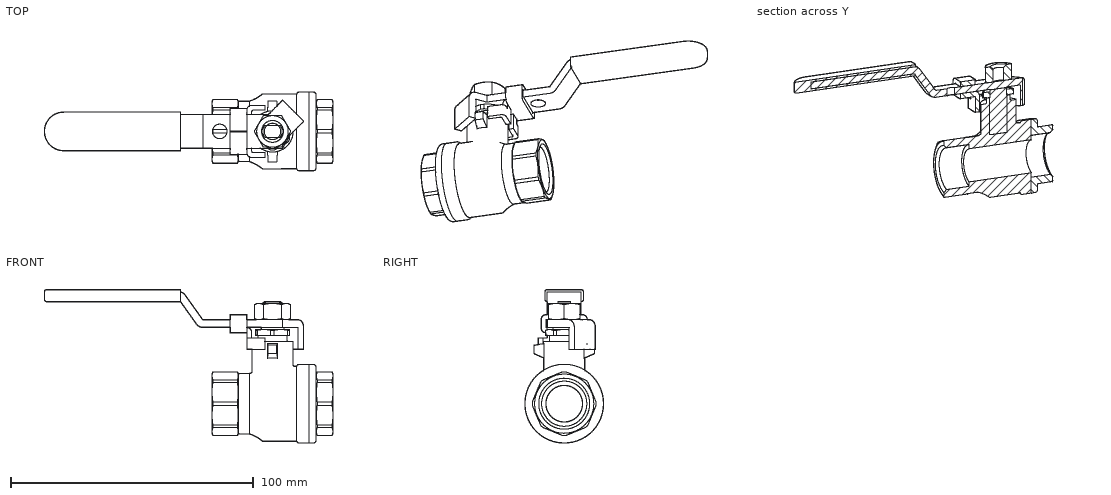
import cadquery as cq
import math


HALF_LENGTH = 25.0
BORE_DIAMETER = 15.0
THREAD_DIAMETER = 18.63
THREAD_DEPTH = 11.5
MOUTH_DIAMETER = 21.0

OCTAGON_FLATS = 24.8
OCTAGON_CORNER_DIAMETER = 26.3
OCTAGON_FACE_DIAMETER = 24.38
OCTAGON_CHAMFER = 0.45

OCTAGON_END = -14.0
THROAT_DIAMETER = 25.0
THROAT_END = -9.5
CHAMBER_DIAMETER = 31.0
CHAMBER_START = -4.05
SHOULDER_RADIUS = 16.0
CHAMBER_EDGE_ROUND = 0.3
FLANGE_DIAMETER = 32.5
FLANGE_START = 9.95
FLANGE_END = 18.0
SPLIT = 15.1
BODY_FLANGE_ROUND = 1.0
CAP_FLANGE_ROUND = 1.2

NECK_DIAMETER = 17.0
NECK_TOP = 25.6
NECK_ROOT_ROUND = 0.4
SEAT_DIAMETER = 12.0
SEAT_TOP = 28.1
SEAT_ROOT_ROUND = 0.45
LUG_REACH = 12.5
LUG_ROOT_REACH = 7.5
LUG_ROOT_WIDTH = 4.3
LUG_TIP_WIDTH = 3.5
LUG_ROOT_BOTTOM = 18.4
LUG_ROOT_TOP = 24.9
LUG_TIP_BOTTOM = 20.6
LUG_TIP_TOP = 24.1

GLAND_TOP = 30.6
GLAND_FLATS = 14.0
GLAND_CORNER_DIAMETER = 15.4
GLAND_CHAMFER = 0.4

LEVER_THICKNESS = 3.2
LEVER_BOTTOM = 31.4
LEVER_TOP = LEVER_BOTTOM + LEVER_THICKNESS
LEVER_WIDTH = 14.0
LEVER_RISE_START = -28.7
LEVER_RISE_ANGLE = 54.5
LEVER_HOLE_DIAMETER = 6.0
LEVER_HOLE_X = -21.75
STOP_WIDTH = 12.3
STOP_ANGLE = 45.0
STOP_REACH = 12.05
STOP_BOTTOM = 22.4
WEB_EDGE_START = 4.1
WEB_EDGE_SLOPE = 60.0

STEM_DIAMETER = 9.3
STEM_BOTTOM = 12.0
STEM_TIP_DIAMETER = 8.0
STEM_TIP_END_DIAMETER = 6.75
STEM_TIP_FLATS = 5.0
STEM_TOP = 42.1

NUT_FLATS = 13.0
NUT_TOP = 41.3
NUT_CHAMFER = 0.5
NUT_MOUTH_DIAMETER = 9.0
NUT_HOLE_DIAMETER = 6.75

GRIP_TIP_X = -94.0
GRIP_END_X = -37.85
GRIP_WIDTH = 16.0
GRIP_HEIGHT = 5.0
GRIP_TOP = 47.0
GRIP_ROUND = 1.0

LOCK_THICKNESS = 2.0
LOCK_SLEEVE_BOTTOM = 29.2
LOCK_SLEEVE_TOP = 36.7
LOCK_BEND_OUTSIDE_RADIUS = 1.95
LOCK_BEND_INSIDE_RADIUS = 0.6
LOCK_START = -17.45
LOCK_END = -10.55
LOCK_INNER_WIDTH = 15.0
LOCK_SEAM = 0.3
LOCK_LEG_WIDTH = 14.0
LOCK_SLOT_WIDTH = 4.0
LOCK_ARM_SPAN = 21.5
LOCK_ARM_TOP = 27.1
LOCK_BOTTOM = 22.4
LOCK_ARM_END = -3.1


def x_cylinder(diameter, start, end):
    """Cylinder along the flow axis."""
    return cq.Workplane("YZ", origin=(start, 0, 0)).circle(diameter / 2).extrude(end - start)


def z_cylinder(diameter, bottom, top):
    """Cylinder along the stem axis."""
    return cq.Workplane("XY", origin=(0, 0, bottom)).circle(diameter / 2).extrude(top - bottom)


def box(x_range, y_range, z_range):
    """Box from its low and high limits along each axis."""
    lows, highs = zip(x_range, y_range, z_range)
    sizes = [high - low for low, high in zip(lows, highs)]
    return cq.Workplane("XY").box(*sizes, centered=False).translate(lows)


def across_corners(flats, sides):
    """Corner-to-corner diameter of a regular polygon with an even number of sides."""
    return flats / math.cos(math.pi / sides)


def octagon_end(start, end):
    """Octagonal wrench section with trimmed corners and chamfered ends."""
    corner_diameter = across_corners(OCTAGON_FLATS, 8)
    prism = cq.Workplane("YZ", origin=(start, 0, 0)).polygon(8, corner_diameter).extrude(end - start)
    corner_radius = OCTAGON_CORNER_DIAMETER / 2
    chamfer_drop = corner_radius - OCTAGON_FACE_DIAMETER / 2
    envelope = x_cylinder(OCTAGON_CORNER_DIAMETER, start, end)
    envelope = envelope.faces("<X or >X").chamfer(OCTAGON_CHAMFER, chamfer_drop)
    return prism.intersect(envelope)


def threaded_mouth(direction):
    """Cutter for the counterbored pipe end on the side that `direction` (-1 or 1) points to."""
    chamfer = (MOUTH_DIAMETER - THREAD_DIAMETER) / 2
    profile = [
        (direction * (HALF_LENGTH - THREAD_DEPTH), 0),
        (direction * (HALF_LENGTH - THREAD_DEPTH), THREAD_DIAMETER / 2),
        (direction * (HALF_LENGTH - chamfer), THREAD_DIAMETER / 2),
        (direction * HALF_LENGTH, MOUTH_DIAMETER / 2),
        (direction * HALF_LENGTH, 0),
    ]
    return cq.Workplane("XY").polyline(profile).close().revolve(360, (0, 0, 0), (1, 0, 0))


def stop_lug(side):
    """Tapered lug on the neck, on the +Y (side = 1) or -Y (side = -1) side."""
    root_height = LUG_ROOT_TOP - LUG_ROOT_BOTTOM
    tip_height = LUG_TIP_TOP - LUG_TIP_BOTTOM
    root_middle = (LUG_ROOT_TOP + LUG_ROOT_BOTTOM) / 2
    tip_middle = (LUG_TIP_TOP + LUG_TIP_BOTTOM) / 2
    root_plane = cq.Plane(origin=(0, side * LUG_ROOT_REACH, 0), xDir=(-side, 0, 0), normal=(0, side, 0))
    return (
        cq.Workplane(root_plane)
        .center(0, root_middle)
        .rect(LUG_ROOT_WIDTH, root_height)
        .workplane(offset=LUG_REACH - LUG_ROOT_REACH)
        .center(0, tip_middle - root_middle)
        .rect(LUG_TIP_WIDTH, tip_height)
        .loft(combine=True)
    )


def chamber_shell():
    """Turned outline of the throat, the curved shoulder and the ball chamber."""
    shell = (
        cq.Workplane("XY")
        .moveTo(OCTAGON_END, 0)
        .lineTo(OCTAGON_END, THROAT_DIAMETER / 2)
        .lineTo(THROAT_END, THROAT_DIAMETER / 2)
        .radiusArc((CHAMBER_START, CHAMBER_DIAMETER / 2), -SHOULDER_RADIUS)
        .lineTo(FLANGE_START, CHAMBER_DIAMETER / 2)
        .lineTo(FLANGE_START, 0)
        .close()
        .revolve(360, (0, 0, 0), (1, 0, 0))
    )
    chamber_wall = shell.faces("%CYLINDER").faces(">X")
    return chamber_wall.edges("%CIRCLE").fillet(CHAMBER_EDGE_ROUND)


def neck_post():
    """Neck with the narrower seat for the gland nut, rounded where the two meet."""
    seat = z_cylinder(SEAT_DIAMETER, NECK_TOP, SEAT_TOP)
    post = z_cylinder(NECK_DIAMETER, 0, NECK_TOP).union(seat)
    seat_wall = post.faces("%CYLINDER").faces(">Z")
    return seat_wall.edges("<Z").fillet(SEAT_ROOT_ROUND)


def build_body():
    half_neck = NECK_DIAMETER / 2
    root_low = (-half_neck, -half_neck, BORE_DIAMETER / 2 - NECK_ROOT_ROUND)
    root_high = (half_neck, half_neck, CHAMBER_DIAMETER / 2)
    root_zone = cq.selectors.BoxSelector(root_low, root_high)
    body = chamber_shell().union(neck_post()).edges(root_zone).fillet(NECK_ROOT_ROUND)
    flange = x_cylinder(FLANGE_DIAMETER, FLANGE_START, SPLIT).faces("<X").edges().fillet(BODY_FLANGE_ROUND)
    body = body.union(octagon_end(-HALF_LENGTH, OCTAGON_END)).union(flange)
    for side in (-1, 1):
        body = body.union(stop_lug(side))
    body = body.cut(x_cylinder(BORE_DIAMETER, -HALF_LENGTH, SPLIT)).cut(threaded_mouth(-1))
    return body.cut(z_cylinder(STEM_DIAMETER, STEM_BOTTOM, SEAT_TOP))


def build_cap():
    flange = x_cylinder(FLANGE_DIAMETER, SPLIT, FLANGE_END).faces(">X").edges().fillet(CAP_FLANGE_ROUND)
    cap = flange.union(octagon_end(FLANGE_END, HALF_LENGTH))
    return cap.cut(x_cylinder(BORE_DIAMETER, SPLIT, HALF_LENGTH)).cut(threaded_mouth(1))


def stem_tip(bottom, top):
    """Upper stem section with two flats facing -Y and +Y."""
    half_flats = STEM_TIP_FLATS / 2
    radius = STEM_TIP_DIAMETER / 2
    slab = box((-radius, radius), (-half_flats, half_flats), (bottom, top))
    return z_cylinder(STEM_TIP_DIAMETER, bottom, top).intersect(slab)


def chamfered_stem_tip():
    """Whole stem tip, with its round sides chamfered at the top."""
    chamfer = (STEM_TIP_DIAMETER - STEM_TIP_END_DIAMETER) / 2
    envelope = z_cylinder(STEM_TIP_DIAMETER, LEVER_BOTTOM, STEM_TOP).faces(">Z").chamfer(chamfer)
    return stem_tip(LEVER_BOTTOM, STEM_TOP).intersect(envelope)


def build_stem():
    return z_cylinder(STEM_DIAMETER, STEM_BOTTOM, LEVER_BOTTOM).union(chamfered_stem_tip())


def build_gland_nut():
    """Packing nut on the neck seat, with trimmed corners toward -Y and +Y."""
    hexagon = (
        cq.Workplane("XY", origin=(0, 0, SEAT_TOP))
        .transformed(rotate=(0, 0, 90))
        .polygon(6, across_corners(GLAND_FLATS, 6))
        .extrude(GLAND_TOP - SEAT_TOP)
    )
    envelope = z_cylinder(GLAND_CORNER_DIAMETER, SEAT_TOP, GLAND_TOP)
    chamfer_drop = (GLAND_CORNER_DIAMETER - GLAND_FLATS) / 2
    envelope = envelope.faces(">Z").chamfer(GLAND_CHAMFER, chamfer_drop)
    return hexagon.intersect(envelope).cut(z_cylinder(STEM_DIAMETER, SEAT_TOP, GLAND_TOP))


def build_handle_nut():
    corner_diameter = across_corners(NUT_FLATS, 6)
    height = NUT_TOP - LEVER_TOP
    hexagon = cq.Workplane("XY", origin=(0, 0, LEVER_TOP)).polygon(6, corner_diameter).extrude(height)
    chamfer_drop = (corner_diameter - NUT_FLATS) / 2
    envelope = z_cylinder(corner_diameter, LEVER_TOP, NUT_TOP)
    envelope = envelope.faces("<Z or >Z").chamfer(NUT_CHAMFER, chamfer_drop)
    countersink = (NUT_MOUTH_DIAMETER - NUT_HOLE_DIAMETER) / 2
    hole = z_cylinder(NUT_HOLE_DIAMETER, LEVER_TOP, NUT_TOP)
    mouth = cq.Workplane("XY", origin=(0, 0, NUT_TOP - countersink)).circle(NUT_HOLE_DIAMETER / 2)
    mouth = mouth.workplane(offset=countersink).circle(NUT_MOUTH_DIAMETER / 2).loft(combine=True)
    return hexagon.intersect(envelope).cut(hole).cut(mouth).cut(chamfered_stem_tip())


def lever_bar():
    """Side outline of the bar: flat over the valve, rising, then flat again inside the grip."""
    rise = math.radians(LEVER_RISE_ANGLE)
    grip_bottom = GRIP_TOP - GRIP_HEIGHT / 2 - LEVER_THICKNESS / 2
    grip_top = grip_bottom + LEVER_THICKNESS
    tip_x = GRIP_TIP_X + GRIP_WIDTH / 2
    normal = (-math.sin(rise) * LEVER_THICKNESS, -math.cos(rise) * LEVER_THICKNESS)
    half = (-math.sin(rise / 2) * LEVER_THICKNESS, -math.cos(rise / 2) * LEVER_THICKNESS)
    lower = (LEVER_RISE_START, LEVER_TOP)
    lower_outer = (lower[0] + normal[0], lower[1] + normal[1])
    upper = (lower_outer[0] - (grip_bottom - lower_outer[1]) / math.tan(rise), grip_bottom)
    return (
        cq.Workplane("XZ", origin=(0, LEVER_WIDTH / 2, 0))
        .moveTo(0, LEVER_TOP)
        .lineTo(*lower)
        .lineTo(upper[0] - normal[0], upper[1] - normal[1])
        .threePointArc((upper[0] - half[0], upper[1] - half[1]), (upper[0], grip_top))
        .lineTo(tip_x, grip_top)
        .lineTo(tip_x, grip_bottom)
        .lineTo(*upper)
        .lineTo(*lower_outer)
        .threePointArc((lower[0] + half[0], lower[1] + half[1]), (lower[0], LEVER_BOTTOM))
        .lineTo(0, LEVER_BOTTOM)
        .close()
        .extrude(LEVER_WIDTH)
    )


def lever_stop():
    """Diagonal tongue bent down past the neck, which meets the lugs at either end of the turn."""
    half_width = STOP_WIDTH / 2
    return (
        cq.Workplane("XZ", origin=(0, half_width, 0))
        .moveTo(0, LEVER_BOTTOM)
        .lineTo(0, LEVER_TOP)
        .lineTo(STOP_REACH - LEVER_THICKNESS, LEVER_TOP)
        .radiusArc((STOP_REACH, LEVER_BOTTOM), LEVER_THICKNESS)
        .lineTo(STOP_REACH, STOP_BOTTOM)
        .lineTo(STOP_REACH - LEVER_THICKNESS, STOP_BOTTOM)
        .lineTo(STOP_REACH - LEVER_THICKNESS, LEVER_BOTTOM)
        .close()
        .extrude(STOP_WIDTH)
        .rotate((0, 0, 0), (0, 0, 1), STOP_ANGLE)
    )


def lever_web():
    """Flat corner between the bar and the diagonal tongue, with one sloping edge."""
    half_width = LEVER_WIDTH / 2
    stop_offset = STOP_WIDTH / 2 / math.cos(math.radians(STOP_ANGLE))
    slope = math.tan(math.radians(WEB_EDGE_SLOPE))
    meet_x = (slope * WEB_EDGE_START + half_width - stop_offset) / (slope - 1)
    outline = [
        (0, -half_width),
        (WEB_EDGE_START, -half_width),
        (meet_x, meet_x - stop_offset),
        (0, 0),
    ]
    return cq.Workplane("XY", origin=(0, 0, LEVER_BOTTOM)).polyline(outline).close().extrude(LEVER_THICKNESS)


def build_lever():
    lever = lever_bar().union(lever_stop()).union(lever_web())
    lock_hole = z_cylinder(LEVER_HOLE_DIAMETER, LEVER_BOTTOM, LEVER_TOP).translate((LEVER_HOLE_X, 0, 0))
    return lever.cut(lock_hole).cut(stem_tip(LEVER_BOTTOM, LEVER_TOP))


def build_grip(lever):
    """Soft sleeve with a round tip, pushed over the raised end of the lever."""
    half_width = GRIP_WIDTH / 2
    tip_center = GRIP_TIP_X + half_width
    grip = (
        cq.Workplane("XY", origin=(0, 0, GRIP_TOP - GRIP_HEIGHT))
        .moveTo(GRIP_END_X, -half_width)
        .lineTo(tip_center, -half_width)
        .threePointArc((GRIP_TIP_X, 0), (tip_center, half_width))
        .lineTo(GRIP_END_X, half_width)
        .close()
        .extrude(GRIP_HEIGHT)
    )
    outer_edges = grip.faces("<Z or >Z").edges("not >X")
    return outer_edges.fillet(GRIP_ROUND).cut(lever)


def lock_sleeve():
    """Rectangular band around the lever, open along a narrow seam on top."""
    half_inner = LOCK_INNER_WIDTH / 2
    half_outer = half_inner + LOCK_THICKNESS
    x_range = (LOCK_START, LOCK_END)
    outer = box(x_range, (-half_outer, half_outer), (LOCK_SLEEVE_BOTTOM, LOCK_SLEEVE_TOP))
    outer = outer.edges("|X").fillet(LOCK_BEND_OUTSIDE_RADIUS)
    inner = box(x_range, (-half_inner, half_inner), (LEVER_BOTTOM, LEVER_TOP))
    seam = box(x_range, (-LOCK_SEAM / 2, LOCK_SEAM / 2), (LEVER_TOP, LOCK_SLEEVE_TOP))
    return outer.cut(inner).cut(seam)


def lock_fork():
    """Plate bent down from the sleeve, slotted in the middle, with two arms bent toward +X."""
    leg_x = (LOCK_END, LOCK_END + LOCK_THICKNESS)
    half_span = LOCK_ARM_SPAN / 2
    leg = box(leg_x, (-LOCK_LEG_WIDTH / 2, LOCK_LEG_WIDTH / 2), (LOCK_BOTTOM, LEVER_BOTTOM))
    leg = leg.edges("|Y and >X and >Z").fillet(LOCK_BEND_OUTSIDE_RADIUS)
    z_range = (LOCK_BOTTOM, LOCK_ARM_TOP)
    arms = box((LOCK_END, LOCK_ARM_END), (-half_span, half_span), z_range)
    arms = arms.edges("|Z and <X").fillet(LOCK_BEND_OUTSIDE_RADIUS)
    inner_half = half_span - LOCK_THICKNESS
    opening = box((leg_x[1], LOCK_ARM_END), (-inner_half, inner_half), z_range)
    arms = arms.cut(opening.edges("|Z and <X").fillet(LOCK_BEND_INSIDE_RADIUS))
    slot = box(leg_x, (-LOCK_SLOT_WIDTH / 2, LOCK_SLOT_WIDTH / 2), (LOCK_BOTTOM, LOCK_SLEEVE_BOTTOM))
    return leg.union(arms).cut(slot)


def build_lock():
    return lock_sleeve().union(lock_fork())


body = build_body()
cap = build_cap()
stem = build_stem()
gland_nut = build_gland_nut()
lever = build_lever()
handle_nut = build_handle_nut()
grip = build_grip(lever)
lock = build_lock()

bodies = [body, cap, stem, gland_nut, lever, handle_nut, grip, lock]
result = cq.Compound.makeCompound([part.solids().val() for part in bodies])